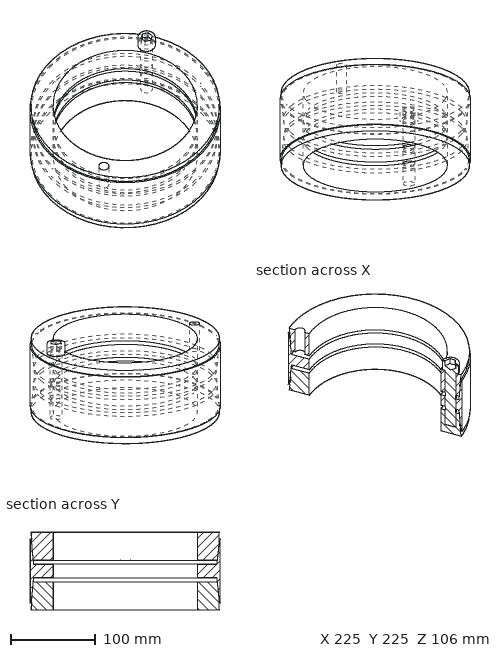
import cadquery as cq
import math

OVERALL_HEIGHT = 106.0
OUTER_RADIUS = 225 / 2
BORE_RADIUS = 170.0 / 2

HEAD_HEIGHT = 14.0
HEAD_RADIUS = 21.0 / 2
HEAD_EDGE_RADIUS = 1.4
SHANK_RADIUS = 14.0 / 2
SHANK_LENGTH = 80.0
HEX_ACROSS_FLATS = 12.0
SOCKET_DEPTH = 7.0
SOCKET_TIP_ANGLE = 120
BOLT_CIRCLE_RADIUS = 97.2

RING_HEIGHT = OVERALL_HEIGHT - HEAD_HEIGHT
MID_HEIGHT = RING_HEIGHT / 2
THRUST_HEIGHT = 33.3
THRUST_RIM_RADIUS = 111.4
THRUST_EXPOSED_HEIGHT = 8.0
TAPER_ANGLE = 5
WEB_HEIGHT = 16.2
JACKING_HOLE_RADIUS = 12.0 / 2

WEB_BOTTOM = MID_HEIGHT - WEB_HEIGHT / 2
WEB_TOP = MID_HEIGHT + WEB_HEIGHT / 2


def taper_radius(depth):
    """Radius of the conical seat at a depth below the thrust ring's outer face."""
    return THRUST_RIM_RADIUS - depth * math.tan(math.radians(TAPER_ANGLE))


def revolve_profile(points):
    """Revolve a closed (radius, z) outline about Z."""
    return cq.Workplane("XZ").polyline(points).close().revolve(360, (0, 0), (0, 1))


def vertical_cylinder(y, radius, bottom, top):
    return cq.Workplane("XY", origin=(0, y, bottom)).circle(radius).extrude(top - bottom)


def mirror_to_top(body):
    return body.mirror("XY", (0, 0, MID_HEIGHT))


def make_bottom_thrust_blank():
    """Tapered ring, widest at the bottom face."""
    return revolve_profile([
        (BORE_RADIUS, 0),
        (THRUST_RIM_RADIUS, 0),
        (taper_radius(THRUST_HEIGHT), THRUST_HEIGHT),
        (BORE_RADIUS, THRUST_HEIGHT),
    ])


def make_outer_ring():
    """Sleeve with two conical seats and a central web reaching in to the bore."""
    seat_mouth_radius = taper_radius(THRUST_EXPOSED_HEIGHT)
    seat_floor_radius = taper_radius(WEB_BOTTOM)
    sleeve_top = RING_HEIGHT - THRUST_EXPOSED_HEIGHT
    return revolve_profile([
        (OUTER_RADIUS, THRUST_EXPOSED_HEIGHT),
        (OUTER_RADIUS, sleeve_top),
        (seat_mouth_radius, sleeve_top),
        (seat_floor_radius, WEB_TOP),
        (BORE_RADIUS, WEB_TOP),
        (BORE_RADIUS, WEB_BOTTOM),
        (seat_floor_radius, WEB_BOTTOM),
        (seat_mouth_radius, THRUST_EXPOSED_HEIGHT),
    ])


def make_socket():
    """Hexagonal recess, corners along Y, with a conical floor."""
    corner_radius = HEX_ACROSS_FLATS / math.sqrt(3)
    tip_depth = corner_radius / math.tan(math.radians(SOCKET_TIP_ANGLE / 2))
    tip_z = OVERALL_HEIGHT - SOCKET_DEPTH - tip_depth
    hexagon = (
        cq.Workplane("XY", origin=(0, 0, tip_z))
        .polygon(6, 2 * corner_radius)
        .extrude(OVERALL_HEIGHT - tip_z)
        .rotate((0, 0, 0), (0, 0, 1), 30)
    )
    pointed_cylinder = revolve_profile([
        (0, tip_z),
        (corner_radius, tip_z + tip_depth),
        (corner_radius, OVERALL_HEIGHT),
        (0, OVERALL_HEIGHT),
    ])
    return hexagon.intersect(pointed_cylinder).translate((0, BOLT_CIRCLE_RADIUS, 0))


def make_screw(shank):
    """Socket-head screw with a rounded top edge."""
    head = vertical_cylinder(BOLT_CIRCLE_RADIUS, HEAD_RADIUS, RING_HEIGHT, OVERALL_HEIGHT)
    head = head.faces(">Z").edges().fillet(HEAD_EDGE_RADIUS)
    return head.union(shank).cut(make_socket())


shank = vertical_cylinder(BOLT_CIRCLE_RADIUS, SHANK_RADIUS, RING_HEIGHT - SHANK_LENGTH, RING_HEIGHT)
jacking_hole = vertical_cylinder(
    -BOLT_CIRCLE_RADIUS, JACKING_HOLE_RADIUS, RING_HEIGHT - THRUST_HEIGHT, RING_HEIGHT
)

thrust_blank = make_bottom_thrust_blank()
bottom_thrust_ring = thrust_blank.cut(shank)
top_thrust_ring = mirror_to_top(thrust_blank).cut(shank).cut(jacking_hole)
outer_ring = make_outer_ring().cut(shank)
screw = make_screw(shank)

result = cq.Compound.makeCompound([
    outer_ring.solids().val(),
    bottom_thrust_ring.solids().val(),
    top_thrust_ring.solids().val(),
    screw.solids().val(),
])